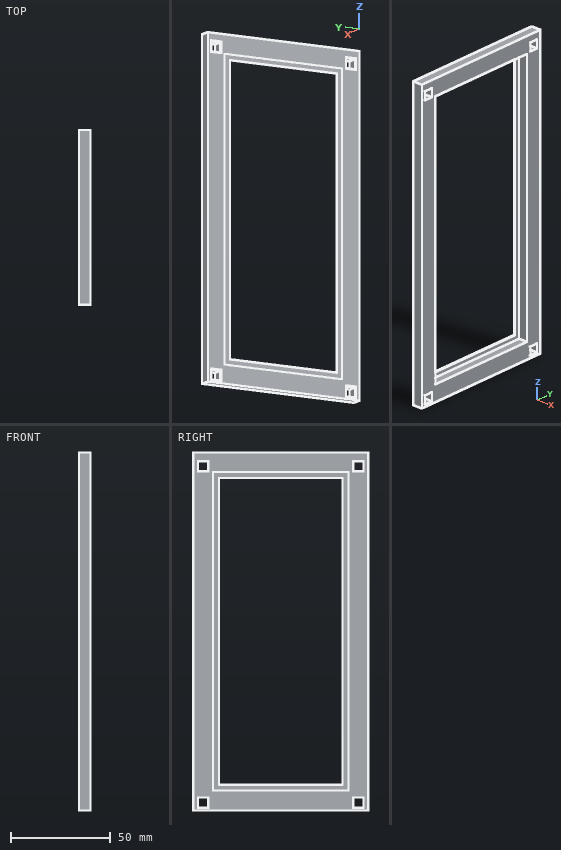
import cadquery as cq

thickness = 6.0
width = 88.0
height = 180.0

window_border = 13.0
window_width = width - 2 * window_border
window_height = height - 2 * window_border

lip_thickness = 0.6
lip_overhang = 3.0
pocket_depth = thickness - lip_thickness
pocket_width = window_width + 2 * lip_overhang
pocket_height = window_height + 2 * lip_overhang

hole_size = 5.0
flare = 0.5
mouth_size = hole_size + 2 * flare
hole_side_offset = 5.0
hole_top_offset = 7.0
hole_bottom_offset = 4.0

lip_face_x = -thickness / 2
hole_y = width / 2 - hole_side_offset
upper_hole_z = height / 2 - hole_top_offset
lower_hole_z = -height / 2 + hole_bottom_offset


def make_frame():
    """Rectangular plate with a through window and a larger pocket behind its lip."""
    plate = cq.Workplane("XY").box(thickness, width, height)
    window = cq.Workplane("XY").box(thickness, window_width, window_height)
    pocket = (
        cq.Workplane("YZ", origin=(lip_face_x + lip_thickness, 0, 0))
        .rect(pocket_width, pocket_height)
        .extrude(pocket_depth)
    )
    return plate.cut(window).cut(pocket)


def make_hole_cutter(y, z):
    """Square through hole at (y, z) with a flared mouth on the -X face."""
    shaft = cq.Workplane("XY").box(thickness, hole_size, hole_size)
    mouth = (
        cq.Workplane("YZ", origin=(lip_face_x, 0, 0))
        .rect(mouth_size, mouth_size)
        .workplane(offset=flare)
        .rect(hole_size, hole_size)
        .loft(ruled=True)
    )
    return shaft.union(mouth).translate((0, y, z))


result = make_frame()
for y in (-hole_y, hole_y):
    for z in (lower_hole_z, upper_hole_z):
        result = result.cut(make_hole_cutter(y, z))